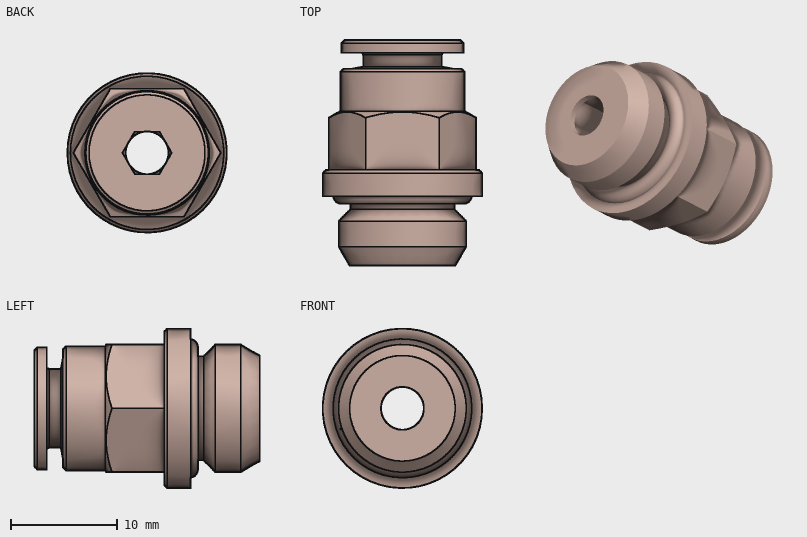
import cadquery as cq
import math

thread_lead_end = 1.8
groove_start = 5.28
seal_bottom = 5.8
flange_bottom = 6.5
flange_top = 9.0
hex_top = 14.52
body_top = 18.5
neck_bottom = 18.7
neck_top = 19.8
collar_bottom = 20.0
collar_top = 21.2

thread_radius = 6.0
thread_lead_angle = 30.0
thread_tip_radius = thread_radius - thread_lead_end * math.tan(math.radians(thread_lead_angle))
groove_radius = 4.9
seal_radius = 6.53
seal_section_radius = 0.83
flange_radius = 7.5
body_radius = 5.85
shoulder_radius = 4.8
neck_radius = 3.7
neck_root_radius = 3.8
collar_radius = 5.75

edge_chamfer = 0.3

hex_across_flats = 12.0
hex_chamfer_angle = 30.0

bore_diameter = 4.0
mouth_depth = 0.7


def turned(points):
    """Solid of revolution about Y from (radius, y) points closed along the axis."""
    outline = [(0, points[0][1])] + points + [(0, points[-1][1])]
    return cq.Workplane("XY").polyline(outline).close().revolve(360, (0, 0, 0), (0, 1, 0))


def hex_prism(across_flats, y_start, y_end):
    """Hexagonal prism along Y with flats facing +Z and -Z."""
    across_corners = across_flats / math.cos(math.pi / 6)
    prism = cq.Workplane("XZ").polygon(6, across_corners).extrude(-(y_end - y_start))
    return prism.translate((0, y_start, 0))


def threaded_end():
    """Threaded shank with a tapered lead, running out at 45 degrees into a groove."""
    thread_end = groove_start - (thread_radius - groove_radius)
    return turned([
        (thread_tip_radius, 0),
        (thread_radius, thread_lead_end),
        (thread_radius, thread_end),
        (groove_radius, groove_start),
        (groove_radius, flange_bottom),
    ])


def seal_ring():
    """Lower half of a round sealing ring seated in the flange and around the groove."""
    ring_center_radius = seal_radius - seal_section_radius
    ring_center_y = seal_bottom + seal_section_radius
    section = (
        cq.Workplane("XY")
        .moveTo(ring_center_radius - seal_section_radius, ring_center_y)
        .threePointArc((ring_center_radius, seal_bottom), (seal_radius, ring_center_y))
        .close()
    )
    return section.revolve(360, (0, 0, 0), (0, 1, 0))


def flange():
    """Round flange with a chamfered upper rim."""
    return turned([
        (flange_radius, flange_bottom),
        (flange_radius, flange_top - edge_chamfer),
        (flange_radius - edge_chamfer, flange_top),
    ])


def wrench_hex():
    """Hexagon whose upper corners are cut back by a cone."""
    cone_drop = (flange_radius - body_radius) * math.tan(math.radians(hex_chamfer_angle))
    cone = turned([
        (flange_radius, flange_top),
        (flange_radius, hex_top - cone_drop),
        (body_radius, hex_top),
    ])
    return hex_prism(hex_across_flats, flange_top, hex_top).intersect(cone)


def body_and_collar():
    """Cylindrical body, neck and release collar at the tube end."""
    return turned([
        (body_radius, hex_top),
        (body_radius, body_top - edge_chamfer),
        (body_radius - edge_chamfer, body_top),
        (shoulder_radius, body_top),
        (neck_radius, neck_bottom),
        (neck_radius, neck_top),
        (neck_root_radius, collar_bottom),
        (collar_radius, collar_bottom),
        (collar_radius, collar_top - edge_chamfer),
        (collar_radius - edge_chamfer, collar_top),
    ])


def passage():
    """Round mouth at the threaded end opening into the hexagon socket."""
    mouth = cq.Workplane("XZ").circle(bore_diameter / 2).extrude(-mouth_depth)
    return mouth.union(hex_prism(bore_diameter, mouth_depth, collar_top))


result = (
    threaded_end()
    .union(seal_ring())
    .union(flange())
    .union(wrench_hex())
    .union(body_and_collar())
    .cut(passage())
)